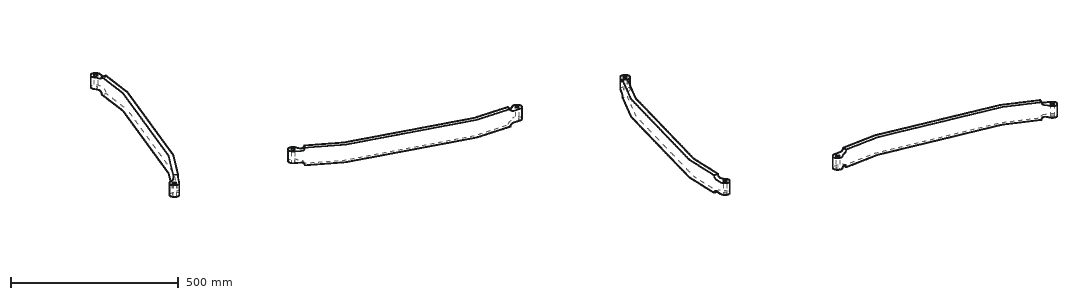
import cadquery as cq
import math

overall_length = 750.0
bar_height = 60.0
bar_thickness = 15.0
bend_start_x = 205.5
bend_angle = 12.6
bend_inner_radius = 30.0
eye_radius = 15.0
hole_radius = 5.6
eye_height = 40.0
eye_blend_radius = 30.0

slope = math.radians(bend_angle)
arm_direction = (math.cos(slope), -math.sin(slope))
arm_normal = (math.sin(slope), math.cos(slope))

bend_center = (bend_start_x, -bar_thickness - bend_inner_radius)
bend_outer_radius = bend_inner_radius + bar_thickness

eye_x = overall_length / 2 - eye_radius
inner_bend_end_x = bend_center[0] + bend_inner_radius * math.sin(slope)
inner_bend_end_y = bend_center[1] + bend_inner_radius * math.cos(slope)
eye_center = (eye_x, inner_bend_end_y - (eye_x - inner_bend_end_x) * math.tan(slope))

blend_center_distance = eye_radius + eye_blend_radius
shoulder_offset = math.sqrt(blend_center_distance**2 - eye_blend_radius**2)
shoulder_radius = (bar_height - eye_height) / 2


def from_eye(along, outward):
    """Point at a distance along the arm and outward from the eye center."""
    return tuple(
        c + along * d + outward * n
        for c, d, n in zip(eye_center, arm_direction, arm_normal)
    )


def bend_point(radius, angle):
    """Point on a bend face, with the angle measured from the +Y direction."""
    return (
        bend_center[0] + radius * math.sin(angle),
        bend_center[1] + radius * math.cos(angle),
    )


def make_half_blank():
    """Right half of the bent bar with its eye, at full bar height."""
    blend_center = from_eye(-shoulder_offset, -eye_blend_radius)
    eye_fraction = eye_radius / blend_center_distance
    blend_end = from_eye(-shoulder_offset * eye_fraction, -eye_blend_radius * eye_fraction)
    blend_start = from_eye(-shoulder_offset, 0)

    chord_x = (blend_start[0] + blend_end[0]) / 2 - blend_center[0]
    chord_y = (blend_start[1] + blend_end[1]) / 2 - blend_center[1]
    reach = eye_blend_radius / math.hypot(chord_x, chord_y)
    blend_middle = (blend_center[0] + chord_x * reach, blend_center[1] + chord_y * reach)

    return (
        cq.Workplane("XY", origin=(0, 0, -bar_height / 2))
        .moveTo(0, 0)
        .lineTo(bend_start_x, 0)
        .threePointArc(bend_point(bend_outer_radius, slope / 2), bend_point(bend_outer_radius, slope))
        .lineTo(*from_eye(0, eye_radius))
        .threePointArc(from_eye(eye_radius, 0), blend_end)
        .threePointArc(blend_middle, blend_start)
        .lineTo(*bend_point(bend_inner_radius, slope))
        .threePointArc(bend_point(bend_inner_radius, slope / 2), bend_point(bend_inner_radius, 0))
        .lineTo(0, -bar_thickness)
        .close()
        .extrude(bar_height)
    )


def make_shoulder_cutter():
    """Material above the eye, with a concave round against the bar end."""
    side = cq.Plane(
        origin=(*eye_center, 0),
        xDir=(*arm_direction, 0),
        normal=(*arm_normal, 0),
    )
    cutter_end = 2 * eye_radius
    arc_offset = shoulder_radius * (1 - math.sqrt(0.5))
    return (
        cq.Workplane(side)
        .moveTo(-shoulder_offset, -bar_height / 2)
        .threePointArc(
            (-shoulder_offset + arc_offset, -eye_height / 2 - arc_offset),
            (-shoulder_offset + shoulder_radius, -eye_height / 2),
        )
        .lineTo(cutter_end, -eye_height / 2)
        .lineTo(cutter_end, -bar_height / 2)
        .close()
        .extrude(2 * eye_radius, both=True)
    )


def make_hole():
    return (
        cq.Workplane("XY", origin=(*eye_center, -bar_height / 2))
        .circle(hole_radius)
        .extrude(bar_height)
    )


upper_cutter = make_shoulder_cutter()
half = make_half_blank().cut(upper_cutter).cut(upper_cutter.mirror("XY")).cut(make_hole())
result = half.union(half.mirror("YZ")).clean()